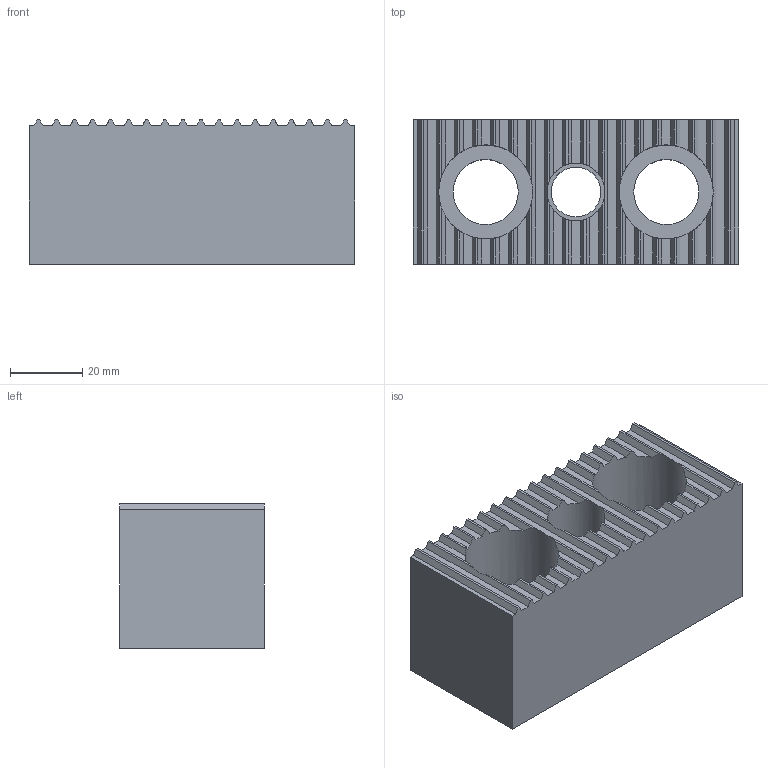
import cadquery as cq
import math

length = 90.0
width = 40.0
height = 40.0

ridge_pitch = 5.0
ridge_count = int(length / ridge_pitch)
ridge_height = 1.65
ridge_base_width = ridge_pitch / 2
ridge_flank_angle = 60.0
ridge_crest_width = ridge_base_width - 2 * ridge_height / math.tan(math.radians(ridge_flank_angle))
root_level = height - ridge_height

bolt_spacing = 50.0
bolt_hole_diameter = 18.0
bolt_head_diameter = 26.0
bolt_head_depth = 20.0
center_hole_diameter = 13.8
center_recess_diameter = 16.0
center_recess_depth = 20.0


def make_block():
    """Plain block up to the roots of the ridges, centred on X and Y."""
    return cq.Workplane("XY").box(length, width, root_level, centered=(True, True, False))


def make_ridge(x):
    """One tapered ridge with a narrow flat crest, standing on the block at the given X."""
    half_base = ridge_base_width / 2
    half_crest = ridge_crest_width / 2
    return (
        cq.Workplane("XZ", origin=(x, width / 2, 0))
        .moveTo(-half_base, root_level)
        .lineTo(-half_crest, height)
        .lineTo(half_crest, height)
        .lineTo(half_base, root_level)
        .close()
        .extrude(width)
    )


def cut_stepped_hole(body, x, hole_diameter, recess_diameter, recess_depth):
    """Through hole with a wider flat-bottomed recess, its depth measured from the crests."""
    hole = cq.Workplane("XY").center(x, 0).circle(hole_diameter / 2).extrude(height)
    recess = (
        cq.Workplane("XY", origin=(x, 0, height - recess_depth))
        .circle(recess_diameter / 2)
        .extrude(recess_depth)
    )
    return body.cut(hole).cut(recess)


result = make_block()
for index in range(ridge_count):
    ridge_x = (index - (ridge_count - 1) / 2) * ridge_pitch
    result = result.union(make_ridge(ridge_x))

for bolt_x in (-bolt_spacing / 2, bolt_spacing / 2):
    result = cut_stepped_hole(result, bolt_x, bolt_hole_diameter, bolt_head_diameter, bolt_head_depth)
result = cut_stepped_hole(result, 0, center_hole_diameter, center_recess_diameter, center_recess_depth)